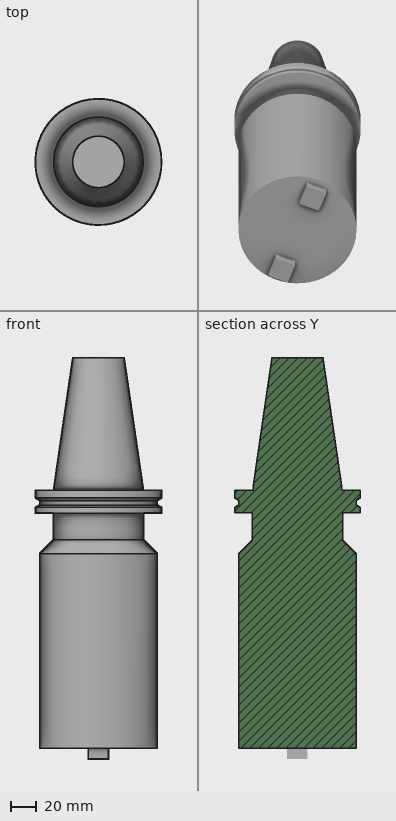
import cadquery as cq

total_height = 313.0
taper_length = 101.7
collar_height = 1.5
flange_height = 17.8
neck_height = 21.0
lug_height = 8.5

gauge_radius = 69.8 / 2
flange_radius = 98.5 / 2
groove_radius = 46.0
neck_radius = 35.5
body_radius = 46.0

taper_ratio = 7 / 24
tip_radius = gauge_radius - taper_length * taper_ratio / 2

upper_lip_height = 6.0
upper_groove_flank = 2.2
groove_floor_height = 3.5
lower_groove_flank = 2.0

lug_width = 16.0
lug_center_offset = 33.2

gauge_z = total_height - taper_length
flange_top_z = gauge_z - collar_height
flange_bottom_z = flange_top_z - flange_height
upper_lip_z = flange_top_z - upper_lip_height
groove_top_z = upper_lip_z - upper_groove_flank
groove_bottom_z = groove_top_z - groove_floor_height
lower_lip_z = groove_bottom_z - lower_groove_flank
neck_bottom_z = flange_bottom_z - neck_height
shoulder_bottom_z = neck_bottom_z - (body_radius - neck_radius)


def turned_holder():
    """Taper shank, grooved flange, neck and body, revolved about Z."""
    return (
        cq.Workplane("XZ")
        .moveTo(0, total_height)
        .lineTo(tip_radius, total_height)
        .lineTo(gauge_radius, gauge_z)
        .lineTo(gauge_radius, flange_top_z)
        .lineTo(flange_radius, flange_top_z)
        .lineTo(flange_radius, upper_lip_z)
        .lineTo(groove_radius, groove_top_z)
        .lineTo(groove_radius, groove_bottom_z)
        .lineTo(flange_radius, lower_lip_z)
        .lineTo(flange_radius, flange_bottom_z)
        .lineTo(neck_radius, flange_bottom_z)
        .lineTo(neck_radius, neck_bottom_z)
        .lineTo(body_radius, shoulder_bottom_z)
        .lineTo(body_radius, lug_height)
        .lineTo(0, lug_height)
        .close()
        .revolve(360, (0, 0, 0), (0, 1, 0))
    )


def drive_lugs():
    """Two square lugs on opposite sides of the bottom face."""
    return (
        cq.Workplane("XY")
        .pushPoints([(0, -lug_center_offset), (0, lug_center_offset)])
        .rect(lug_width, lug_width)
        .extrude(lug_height)
    )


result = turned_holder().union(drive_lugs())